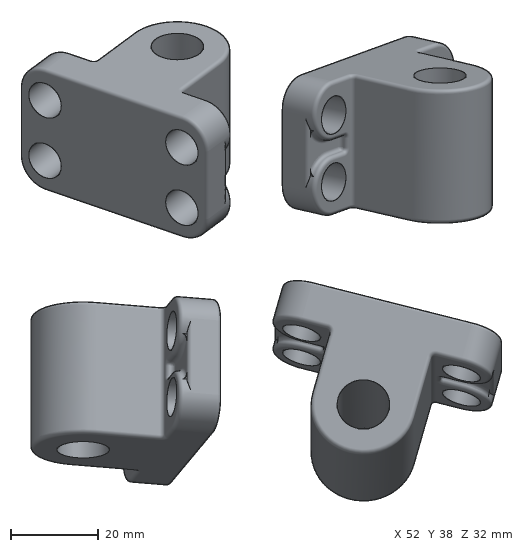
import cadquery as cq
import math

plate_length = 52.0
plate_height = 32.0
plate_thickness = 10.0
corner_radius = 7.0
edge_radius = 0.95

clearance = 2.6
tolerance = 0.005

lug_width = 24.0
lug_radius = lug_width / 2
lug_axis_y = 26.0
pin_hole_diameter = 12.0

bolt_diameter = 9.0
bolt_spacing_x = 37.95
bolt_spacing_z = 16.0

relief_depth = 2.0
relief_end_x = 14.0
relief_corner_radius = 0.8
side_x = plate_length / 2
pad_center_x = side_x - corner_radius
pad_center_z = plate_height / 2 - corner_radius
relief_floor_y = plate_thickness - relief_depth
relief_half_width = pad_center_z - corner_radius


def along_y(y):
    """Sketch plane parallel to the plate, extruding toward +Y."""
    return cq.Workplane("XZ", origin=(0, y, 0))


def make_plate():
    return (
        along_y(0)
        .rect(plate_length, plate_height)
        .extrude(-plate_thickness)
        .edges("|Y")
        .fillet(corner_radius)
    )


def make_lug():
    return (
        cq.Workplane("XY", origin=(0, 0, -plate_height / 2))
        .moveTo(-lug_radius, 0)
        .lineTo(lug_radius, 0)
        .lineTo(lug_radius, lug_axis_y)
        .threePointArc((0, lug_axis_y + lug_radius), (-lug_radius, lug_axis_y))
        .close()
        .extrude(plate_height)
    )


def flare_outline(y, side):
    """Slot between two corner pads, flaring along their arcs and running on past the short side."""
    diagonal = corner_radius * math.sqrt(0.5)
    arc_x = side * (pad_center_x + diagonal)
    arc_z = pad_center_z - diagonal
    inner_x = side * pad_center_x
    outer_x = side * side_x
    end_x = side * relief_end_x
    clear_x = side * (side_x + clearance)
    clear_z = pad_center_z + clearance
    return (
        along_y(y)
        .moveTo(end_x, -relief_half_width)
        .lineTo(inner_x, -relief_half_width)
        .threePointArc((arc_x, -arc_z), (outer_x, -pad_center_z))
        .lineTo(outer_x, -clear_z)
        .lineTo(clear_x, -clear_z)
        .lineTo(clear_x, clear_z)
        .lineTo(outer_x, clear_z)
        .lineTo(outer_x, pad_center_z)
        .threePointArc((arc_x, arc_z), (inner_x, relief_half_width))
        .lineTo(end_x, relief_half_width)
        .close()
    )


def make_relief(side):
    """Cutter for one relief, with rounded inner corners and a rounded floor edge."""
    end_x = side * relief_end_x
    slot_end = cq.selectors.BoxSelector(
        (end_x - tolerance, 0, -plate_height), (end_x + tolerance, plate_thickness, plate_height)
    )
    return (
        flare_outline(relief_floor_y, side)
        .extrude(-relief_depth)
        .edges("|Y")
        .edges(slot_end)
        .fillet(relief_corner_radius)
        .faces("<Y")
        .edges()
        .fillet(edge_radius)
    )


def make_lip_rounding(side):
    """Cutter rounding the relief floor over onto the short side, between the pads."""
    round_start_y = relief_floor_y - edge_radius
    round_start_x = side_x - edge_radius
    diagonal = edge_radius * math.sqrt(0.5)
    profile = (
        cq.Workplane("XY", origin=(0, 0, -plate_height / 2))
        .moveTo(side * round_start_x, relief_floor_y)
        .threePointArc(
            (side * (round_start_x + diagonal), round_start_y + diagonal),
            (side * side_x, round_start_y),
        )
        .lineTo(side * (side_x + clearance), round_start_y)
        .lineTo(side * (side_x + clearance), plate_thickness)
        .lineTo(side * round_start_x, plate_thickness)
        .close()
        .extrude(plate_height)
    )
    between_pads = flare_outline(round_start_y, side).extrude(round_start_y - plate_thickness)
    return profile.intersect(between_pads)


def blend_lug(body):
    """Fillet the two inside corners where the lug meets the plate."""
    lug_root = cq.selectors.BoxSelector(
        (-lug_width, plate_thickness - edge_radius, -plate_height),
        (lug_width, plate_thickness + edge_radius, plate_height),
    )
    return body.edges("|Z").edges(lug_root).fillet(edge_radius)


def drill_holes(body):
    bolt_holes = (
        along_y(0)
        .rect(bolt_spacing_x, bolt_spacing_z, forConstruction=True)
        .vertices()
        .circle(bolt_diameter / 2)
        .extrude(-plate_thickness)
    )
    pin_hole = (
        cq.Workplane("XY", origin=(0, lug_axis_y, -plate_height / 2))
        .circle(pin_hole_diameter / 2)
        .extrude(plate_height)
    )
    return body.cut(bolt_holes).cut(pin_hole)


def round_front(body):
    """Round the outline of the plate's front face."""
    return body.faces("<Y").edges().fillet(edge_radius)


def round_back(body):
    """Round the pads, the relief rims and the outline of the lug."""
    behind_plate = cq.selectors.BoxSelector(
        (-plate_length, plate_thickness - tolerance, -plate_height),
        (plate_length, lug_axis_y + lug_radius, plate_height),
    )
    plate_back = cq.selectors.BoxSelector(
        (-plate_length, plate_thickness - tolerance, -plate_height),
        (plate_length, plate_thickness + tolerance, plate_height),
    )
    lug_outline = body.faces("<Z or >Z").edges(behind_plate)
    back_outline = body.edges(plate_back).edges("not |Z")
    rim = lug_outline.add(back_outline)
    return rim.fillet(edge_radius)


sides = (-1, 1)
body = blend_lug(make_plate().union(make_lug()))
for side in sides:
    body = body.cut(make_relief(side))
body = round_back(round_front(body))
for side in sides:
    body = body.cut(make_lip_rounding(side))
result = drill_holes(body)